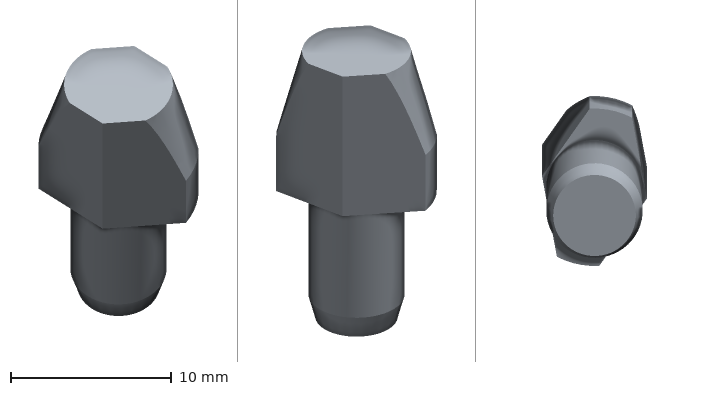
import cadquery as cq
import math

total_height = 19.0
head_diameter = 10.0
head_height = 10.0
head_taper_height = 6.0
head_width = 6.69
pin_diameter = 6.0
pin_tip_height = 1.6
taper_angle = 15.0
flat_angle = 22.5

head_radius = head_diameter / 2
pin_radius = pin_diameter / 2
pin_length = total_height - head_height
taper_slope = math.tan(math.radians(taper_angle))
head_top_radius = head_radius - head_taper_height * taper_slope
pin_tip_radius = pin_radius - pin_tip_height * taper_slope


def make_turned_body():
    """Revolve the pin and tapered head about Z, with the head seated at Z = 0."""
    profile = [
        (0, -pin_length),
        (pin_tip_radius, -pin_length),
        (pin_radius, pin_tip_height - pin_length),
        (pin_radius, 0),
        (head_radius, 0),
        (head_radius, head_height - head_taper_height),
        (head_top_radius, head_height),
        (0, head_height),
    ]
    return cq.Workplane("XZ").polyline(profile).close().revolve(360, (0, 0), (0, 1))


def make_diamond_prism():
    """Rhombus whose four sides form the flats of the head."""
    ridge_y = head_width / 2
    corner_x = ridge_y / math.tan(math.radians(flat_angle))
    corners = [(corner_x, 0), (0, ridge_y), (-corner_x, 0), (0, -ridge_y)]
    return cq.Workplane("XY").polyline(corners).close().extrude(head_height)


def make_head_flat_cutter():
    """Material around the rhombus, over the height of the head only."""
    blank = cq.Workplane("XY").circle(head_diameter).extrude(head_height)
    return blank.cut(make_diamond_prism())


result = make_turned_body().cut(make_head_flat_cutter())